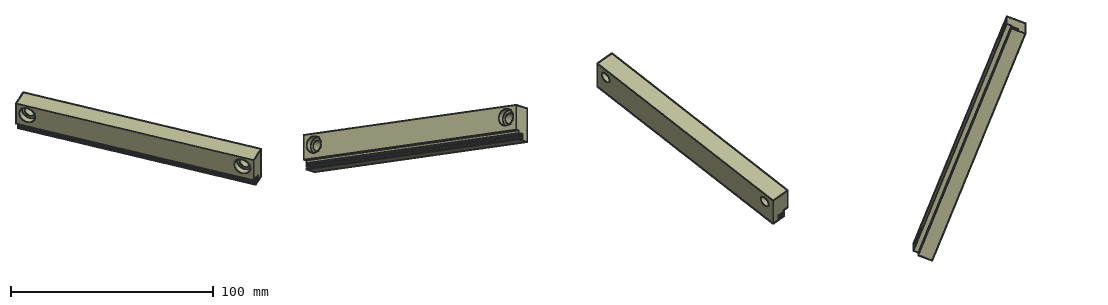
import cadquery as cq

length = 126.0
depth = 10.0
height = 17.0

step_depth = 2.5
step_height = 4.5

groove_count = 2
groove_depth = 3.5
groove_width = 1.0
lip_thickness = 0.6
groove_pitch = groove_width + lip_thickness

hole_diameter = 5.5
counterbore_diameter = 8.5
counterbore_depth = 3.5
hole_end_distance = 6.0
hole_top_distance = 5.5

front = -depth / 2


def front_cut(cut_depth, bottom, cut_height):
    """Full-length rectangular bar reaching cut_depth in from the front face."""
    block = cq.Workplane("XY").box(length, cut_depth, cut_height, centered=(True, False, False))
    return block.translate((0, front, bottom))


def counterbored_hole(x, z):
    """Through hole along Y with its counterbore opening on the front face."""
    face = cq.Workplane("XZ", origin=(x, front, z))
    through = face.circle(hole_diameter / 2).extrude(-depth)
    counterbore = face.circle(counterbore_diameter / 2).extrude(-counterbore_depth)
    return through.union(counterbore)


result = cq.Workplane("XY").box(length, depth, height, centered=(True, True, False))

result = result.cut(front_cut(step_depth, 0, step_height))
groove_reach = step_depth + groove_depth
for i in range(groove_count):
    groove_bottom = lip_thickness + i * groove_pitch
    result = result.cut(front_cut(groove_reach, groove_bottom, groove_width))

hole_x = length / 2 - hole_end_distance
hole_z = height - hole_top_distance
for x in (-hole_x, hole_x):
    result = result.cut(counterbored_hole(x, hole_z))